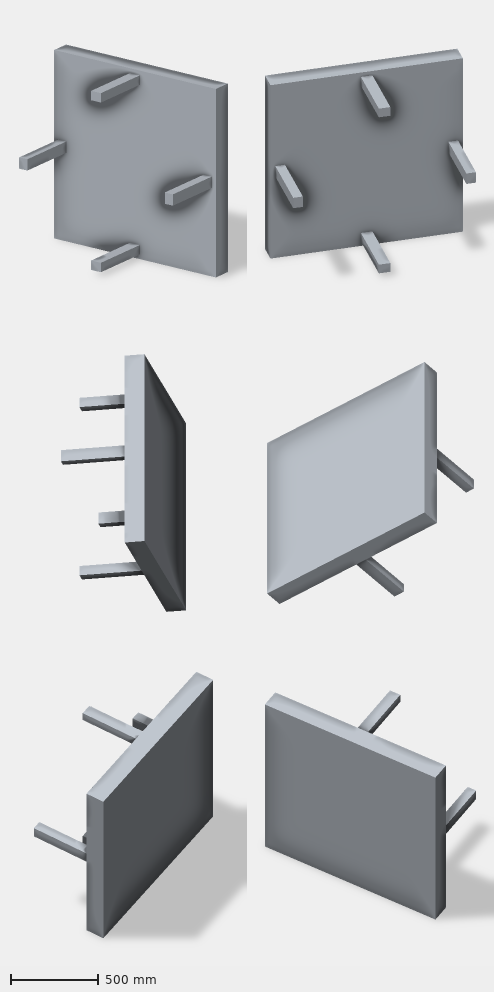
import cadquery as cq

panel_side = 1143.0
panel_thickness = 115.0
total_depth = 495.0
leg_length = total_depth - panel_thickness

leg_width = 69.0
leg_thickness = 57.0
edge_gap = 29.0
leg_offset = panel_side / 2 - edge_gap - leg_thickness / 2


def leg(x, z, size_x, size_z):
    """Leg centred at (x, z), running from the panel's front face toward -Y."""
    return (
        cq.Workplane("XY")
        .box(size_x, leg_length, size_z, centered=(True, False, True))
        .translate((x, -leg_length, z))
    )


result = cq.Workplane("XY").box(
    panel_side, panel_thickness, panel_side, centered=(True, False, True)
)

for side in (-1, 1):
    result = result.union(leg(side * leg_offset, 0, leg_thickness, leg_width))
    result = result.union(leg(0, side * leg_offset, leg_width, leg_thickness))